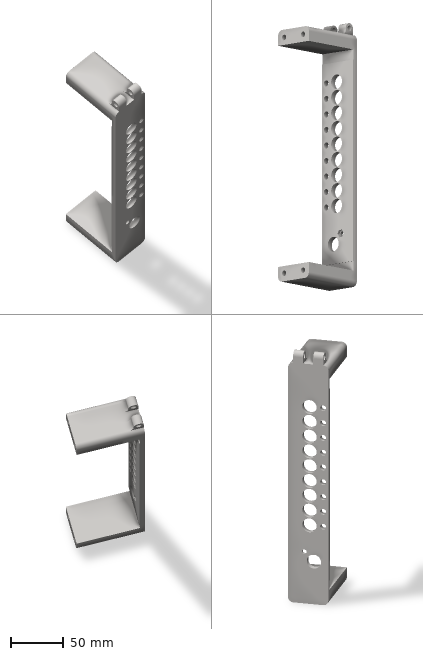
import cadquery as cq
import math

LENGTH = 68.0
WIDTH = 40.0
HEIGHT = 256.5

BODY_HEIGHT = 245.3
ARM_THICKNESS = 15.0
PANEL_THICKNESS = 5.6
LOWER_RELIEF_HEIGHT = 9.2
UPPER_RELIEF_HEIGHT = 10.0

LUG_WIDTH = 10.0
HINGE_HOLE_DIAMETER = 5.1
EDGE_RADIUS = (WIDTH - 3 * LUG_WIDTH) / 2
LUG_RADIUS = EDGE_RADIUS
RELIEF_WALL_THICKNESS = EDGE_RADIUS

SCREW_HOLE_DIAMETER = 5.5
SCREW_HOLE_DEPTH = 20.0
SCREW_HOLE_Y = 12.3
SCREW_HOLE_INSET = 7.7

ROW_COUNT = 9
ROW_PITCH = 15.1
ROW_START_Z = 80.3
LARGE_HOLE_DIAMETER = 14.0
LARGE_HOLE_Y = 1.3
SMALL_HOLE_DIAMETER = 6.0
SMALL_HOLE_Y = 15.0

LOWER_HOLE_Y = 5.6
LOWER_HOLE_Z = 43.5
BOLT_HOLE_DIAMETER = 4.5
BOLT_Y = -3.8
BOLT_Z = 52.9
NUT_ACROSS_FLATS = 7.2
NUT_POCKET_DEPTH = 2.5

PANEL_FACE_X = LENGTH - PANEL_THICKNESS


def make_body():
    """Long block with rounded outer edges, hollowed between the arms."""
    body = cq.Workplane("XY").box(LENGTH, WIDTH, BODY_HEIGHT, centered=(False, True, False))
    body = body.edges("|X").fillet(EDGE_RADIUS)
    relief_x = LENGTH - RELIEF_WALL_THICKNESS
    upper_arm_z = BODY_HEIGHT - ARM_THICKNESS
    panel_bottom_z = ARM_THICKNESS + LOWER_RELIEF_HEIGHT
    panel_top_z = upper_arm_z - UPPER_RELIEF_HEIGHT
    opening = (
        cq.Workplane("XZ")
        .moveTo(0, ARM_THICKNESS)
        .lineTo(relief_x, ARM_THICKNESS)
        .lineTo(relief_x, panel_bottom_z)
        .lineTo(PANEL_FACE_X, panel_bottom_z)
        .lineTo(PANEL_FACE_X, panel_top_z)
        .lineTo(relief_x, panel_top_z)
        .lineTo(relief_x, upper_arm_z)
        .lineTo(0, upper_arm_z)
        .close()
        .extrude(WIDTH / 2, both=True)
    )
    return body.cut(opening)


def make_lug(center_y):
    """Round-topped hinge lug with a concave foot blending into the upper arm."""
    axis_x = LENGTH - LUG_RADIUS
    axis_z = HEIGHT - LUG_RADIUS
    inner_x = LENGTH - 2 * LUG_RADIUS
    foot_center_x = inner_x - LUG_RADIUS
    foot_center_z = BODY_HEIGHT + LUG_RADIUS
    foot_offset = LUG_RADIUS * math.sqrt(0.5)
    root_z = BODY_HEIGHT - LUG_RADIUS
    lug = (
        cq.Workplane("XZ", origin=(0, center_y, 0))
        .moveTo(foot_center_x, root_z)
        .lineTo(LENGTH, root_z)
        .lineTo(LENGTH, axis_z)
        .threePointArc((axis_x, HEIGHT), (inner_x, axis_z))
        .lineTo(inner_x, foot_center_z)
        .threePointArc(
            (foot_center_x + foot_offset, foot_center_z - foot_offset),
            (foot_center_x, BODY_HEIGHT),
        )
        .close()
        .extrude(LUG_WIDTH / 2, both=True)
    )
    pin_hole = (
        cq.Workplane("XZ", origin=(axis_x, center_y, axis_z))
        .circle(HINGE_HOLE_DIAMETER / 2)
        .extrude(LUG_WIDTH / 2, both=True)
    )
    return lug.cut(pin_hole)


def holes_along_x(points, diameter, depth):
    """Cylinders running in +X from X = 0 at the given (Y, Z) points."""
    return cq.Workplane("YZ").pushPoints(points).circle(diameter / 2).extrude(depth)


def make_nut_pocket():
    """Hexagonal pocket in the inner face of the panel, with corners toward +Y and -Y."""
    across_corners = NUT_ACROSS_FLATS / math.cos(math.pi / 6)
    return (
        cq.Workplane("YZ", origin=(PANEL_FACE_X, BOLT_Y, BOLT_Z))
        .polygon(6, across_corners)
        .extrude(NUT_POCKET_DEPTH)
    )


result = make_body()

for side in (-1, 1):
    result = result.union(make_lug(side * LUG_WIDTH))

screw_points = [
    (side * SCREW_HOLE_Y, z)
    for side in (-1, 1)
    for z in (SCREW_HOLE_INSET, BODY_HEIGHT - SCREW_HOLE_INSET)
]
result = result.cut(holes_along_x(screw_points, SCREW_HOLE_DIAMETER, SCREW_HOLE_DEPTH))

row_heights = [ROW_START_Z + i * ROW_PITCH for i in range(ROW_COUNT)]
large_points = [(LARGE_HOLE_Y, z) for z in row_heights] + [(LOWER_HOLE_Y, LOWER_HOLE_Z)]
small_points = [(SMALL_HOLE_Y, z) for z in row_heights]
result = result.cut(holes_along_x(large_points, LARGE_HOLE_DIAMETER, LENGTH))
result = result.cut(holes_along_x(small_points, SMALL_HOLE_DIAMETER, LENGTH))

result = result.cut(holes_along_x([(BOLT_Y, BOLT_Z)], BOLT_HOLE_DIAMETER, LENGTH))
result = result.cut(make_nut_pocket())